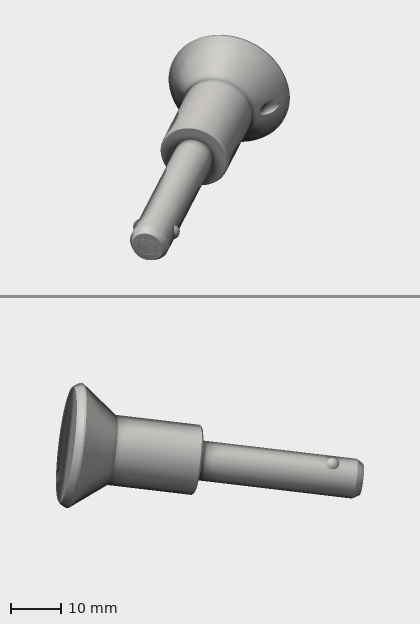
import cadquery as cq

total_length = 59.5

rim_radius = 25.0 / 2
rim_band_width = 0.4
rim_round_length = 1.35
rim_round_inset = 0.9
flare_length = 7.25
collar_radius = 14.05 / 2
collar_chamfer = 0.35
handle_length = 26.4

shank_radius = 8.0 / 2
tip_taper_length = 1.4
tip_taper_inset = 0.85

spindle_diameter = 3.5
spindle_bore_diameter = 3.6
groove_depth = 0.35

ball_radius = 3.05 / 2
ball_reach = 4.75
ball_position = 6.5

lanyard_hole_diameter = 3.05
lanyard_hole_offset = 9.5

handle_start = total_length - handle_length
band_end = total_length - rim_round_length
band_start = band_end - rim_band_width
flare_start = band_start - flare_length


def make_body():
    """Revolve the half outline of shank, collar and flared handle about Y."""
    arc_bulge = 0.05
    arc_middle = (
        rim_radius - rim_round_inset / 2 + arc_bulge,
        band_end + rim_round_length / 2 + arc_bulge,
    )
    outline = (
        cq.Workplane("XY")
        .lineTo(shank_radius - tip_taper_inset, 0)
        .lineTo(shank_radius, tip_taper_length)
        .lineTo(shank_radius, handle_start)
        .lineTo(collar_radius - collar_chamfer, handle_start)
        .lineTo(collar_radius, handle_start + collar_chamfer)
        .lineTo(collar_radius, flare_start)
        .lineTo(rim_radius, band_start)
        .lineTo(rim_radius, band_end)
        .threePointArc(arc_middle, (rim_radius - rim_round_inset, total_length))
        .lineTo(0, total_length)
        .close()
    )
    return outline.revolve(360, (0, 0, 0), (0, 1, 0))


def make_ball(side):
    """Locking ball on the +X (side = 1) or -X (side = -1) flank of the shank."""
    center = (side * (ball_reach - ball_radius), ball_position, 0)
    return cq.Workplane("XY").sphere(ball_radius, direct=(side, 0, 0)).translate(center)


def make_spindle_groove():
    """Thin ring cut into the tip face around the spindle."""
    return (
        cq.Workplane("XZ")
        .circle(spindle_bore_diameter / 2)
        .circle(spindle_diameter / 2)
        .extrude(-groove_depth)
    )


def make_lanyard_hole():
    """Cylinder along Y that passes through the flare beside the collar."""
    return (
        cq.Workplane("XZ")
        .center(lanyard_hole_offset, 0)
        .circle(lanyard_hole_diameter / 2)
        .extrude(-total_length)
    )


result = make_body()
for side in (-1, 1):
    result = result.union(make_ball(side))
result = result.cut(make_spindle_groove())
result = result.cut(make_lanyard_hole())